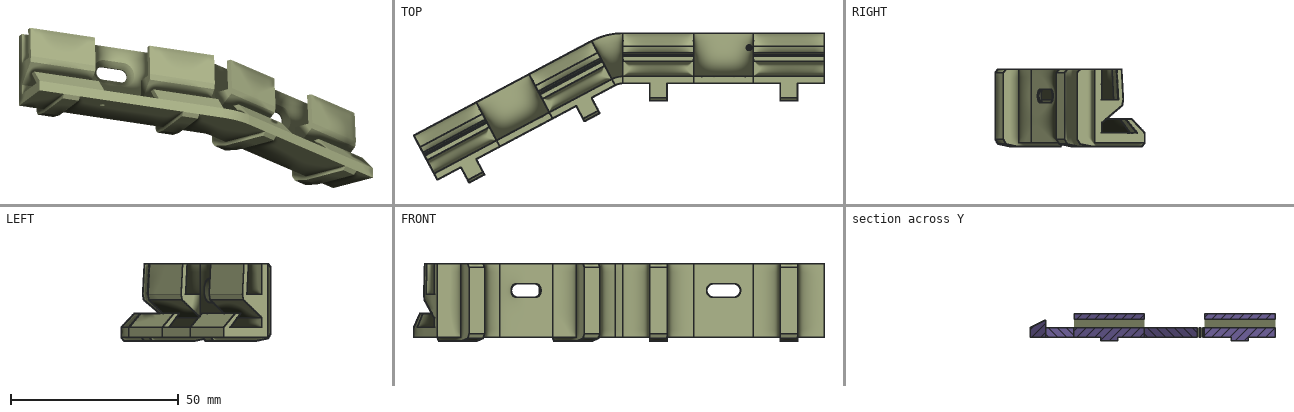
import cadquery as cq


BEND_ANGLE = 28.0
BEND_RADIUS = 4.9
CLIP_LENGTH = 21.1
PLAIN_LENGTH = 17.8
ARM_LENGTH = 2 * CLIP_LENGTH + PLAIN_LENGTH

DEPTH = 15.0
HEIGHT = 22.0
WALL = 2.1
BASE = 3.0

TOE_TOP = 7.2
TOE_TIP_BACK = 11.05
TOE_TIP_FRONT = 9.2
TOE_ROOT_FRONT = 12.7

SHELF_TOP = 12.9
SHELF_ROOT = 5.9
CLIP_THICKNESS = 1.5
CLIP_TIP_FRONT = 6.6
CLIP_LEAN = 0.5
CLIP_ROOT_FRONT = CLIP_TIP_FRONT + CLIP_LEAN
CLIP_ROOT_BACK = CLIP_ROOT_FRONT + CLIP_THICKNESS
SHELF_EDGE_BACK = 8.3
SHELF_EDGE_HEIGHT = 11.2

RIB_WIDTH = 5.2
RIB_REACH = 5.2
RIB_BEVEL_REACH = 0.9
RIB_BEVEL_HEIGHT = 1.1
FOOT_DROP = 1.12
FOOT_NOSE_DROP = 0.3
FOOT_HEEL_BEVEL = 0.9

SLOT_LENGTH = 10.0
SLOT_WIDTH = 4.0
SLOT_HEIGHT = 14.0
SLOT_LIP = 0.5
COUNTERSINK_ANGLE = 45.0

RING_DIAMETER = 1.5
CORE_DIAMETER = 0.6
RING_FROM_END = 1.3
RING_DEPTH = 10.65


def extrude_section(points, start, length):
    """Sweep a (depth, height) outline along X, from x = start."""
    placed = [(BEND_RADIUS + depth, height) for depth, height in points]
    return cq.Workplane("YZ").workplane(offset=start).polyline(placed).close().extrude(length)


def l_section():
    return [(0, 0), (DEPTH, 0), (DEPTH, BASE), (WALL, BASE), (WALL, HEIGHT), (0, HEIGHT)]


def clip_section():
    toe = [
        (DEPTH, BASE),
        (TOE_TIP_BACK, TOE_TOP),
        (TOE_TIP_FRONT, TOE_TOP),
        (TOE_ROOT_FRONT, BASE),
    ]
    shelf_and_clip = [
        (WALL, SHELF_ROOT),
        (SHELF_EDGE_BACK, SHELF_EDGE_HEIGHT),
        (CLIP_ROOT_BACK, SHELF_TOP),
        (CLIP_TIP_FRONT + CLIP_THICKNESS, HEIGHT),
        (CLIP_TIP_FRONT, HEIGHT),
        (CLIP_ROOT_FRONT, SHELF_TOP),
        (WALL, SHELF_TOP),
    ]
    base_edge = [(0, 0), (DEPTH, 0)]
    base_top_and_wall = [(WALL, BASE)]
    wall_top = [(WALL, HEIGHT), (0, HEIGHT)]
    return base_edge + toe + base_top_and_wall + shelf_and_clip + wall_top


def rib(center):
    """Bevelled rib in front of the wall, running up from the wedge-nosed foot."""
    bevel_front = -RIB_REACH + RIB_BEVEL_REACH
    rib_front = [
        (0, HEIGHT),
        (bevel_front, HEIGHT),
        (-RIB_REACH, HEIGHT - RIB_BEVEL_HEIGHT),
        (-RIB_REACH, RIB_BEVEL_HEIGHT),
    ]
    foot = [
        (bevel_front, -FOOT_NOSE_DROP),
        (0, -FOOT_DROP),
        (DEPTH - FOOT_HEEL_BEVEL, -FOOT_DROP),
        (DEPTH, 0),
        (0, 0),
    ]
    return extrude_section(rib_front + foot, center - RIB_WIDTH / 2, RIB_WIDTH)


def clip_block(start):
    block = extrude_section(clip_section(), start, CLIP_LENGTH)
    return block.union(rib(start + CLIP_LENGTH / 2))


def slot_outline(center, depth):
    """Slot outline lying in the wall, at the given distance behind its front face."""
    plane = cq.Workplane("XZ", origin=(center, BEND_RADIUS + depth, SLOT_HEIGHT))
    return plane.slot2D(SLOT_LENGTH, SLOT_WIDTH)


def plain_block(start):
    center = start + PLAIN_LENGTH / 2
    slot = slot_outline(center, 0).extrude(-WALL)
    countersink = slot_outline(center, SLOT_LIP).extrude(SLOT_LIP - WALL, taper=-COUNTERSINK_ANGLE)
    return extrude_section(l_section(), start, PLAIN_LENGTH).cut(slot).cut(countersink)


def arm(start):
    """First clip block, plain block and last clip block, laid along X from x = start."""
    plain_start = start + CLIP_LENGTH
    last_start = plain_start + PLAIN_LENGTH
    return clip_block(start), plain_block(plain_start), clip_block(last_start)


def base_disc(diameter):
    """Disc as thick as the base, at the ring's place in the right plain block."""
    x = CLIP_LENGTH + PLAIN_LENGTH - RING_FROM_END
    y = BEND_RADIUS + RING_DEPTH
    return cq.Workplane("XY").center(x, y).circle(diameter / 2).extrude(BASE)


right_inner_clip, right_plain, right_outer_clip = arm(0)
right_plain = right_plain.cut(base_disc(RING_DIAMETER))
ring_core = base_disc(CORE_DIAMETER)

left_arm = [block.rotate((0, 0, 0), (0, 0, 1), BEND_ANGLE) for block in arm(-ARM_LENGTH)]
left_outer_clip, left_plain, left_inner_clip = left_arm

elbow = (
    cq.Workplane("YZ")
    .polyline([(BEND_RADIUS + depth, height) for depth, height in l_section()])
    .close()
    .revolve(BEND_ANGLE, (0, 0), (0, 1))
)

result = cq.Compound.makeCompound([
    left_outer_clip.val(),
    left_plain.val(),
    left_inner_clip.val(),
    elbow.val(),
    right_inner_clip.val(),
    right_plain.val(),
    right_outer_clip.val(),
    ring_core.val(),
])